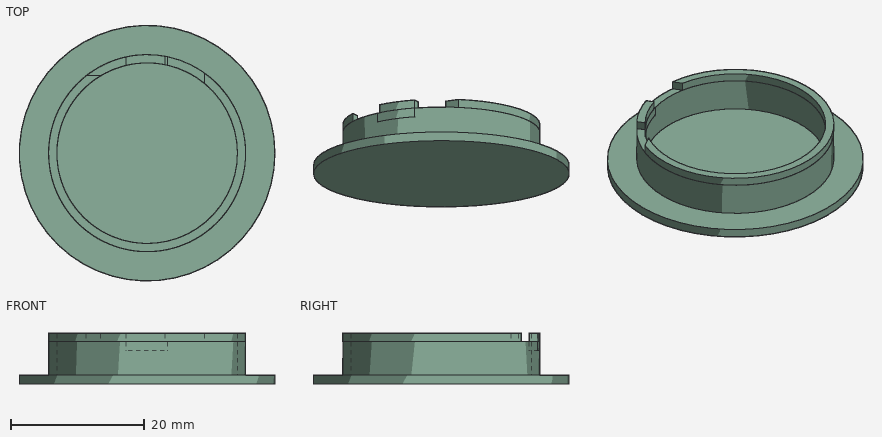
import cadquery as cq

flange_radius = 19.16
flange_thickness = 1.35
wall_outer_radius = 14.77
wall_inner_radius = 13.53
wall_top = 6.4
rim_height = 1.25

opening_right_x = 8.62
opening_left_y = 11.6

key_left_x = -3.17
key_width = 6.25
key_height = 1.36
tab_width = 5.87

rim_top = wall_top + rim_height
key_bottom = wall_top - key_height


def ring(bottom, top):
    """Tube with the radii of the cup wall."""
    return (
        cq.Workplane("XY")
        .workplane(offset=bottom)
        .circle(wall_outer_radius)
        .circle(wall_inner_radius)
        .extrude(top - bottom)
    )


def block(left, right, front, bottom, top):
    """Box that runs from the front Y past the wall on the +Y side."""
    depth = flange_radius - front
    return (
        cq.Workplane("XY")
        .box(right - left, depth, top - bottom, centered=False)
        .translate((left, front, bottom))
    )


def wall_segment(left, width, bottom, top):
    """Piece of the +Y side of the wall between two planes of constant X."""
    return ring(bottom, top).intersect(block(left, left + width, 0, bottom, top))


def make_key():
    return wall_segment(key_left_x, key_width, key_bottom, wall_top)


def make_tab():
    return wall_segment(key_left_x, tab_width, wall_top, rim_top)


def make_cup():
    """Flanged floor and wall, with a pocket through the wall for the key."""
    flange = cq.Workplane("XY").circle(flange_radius).extrude(flange_thickness)
    cup = flange.union(ring(flange_thickness, wall_top))
    return cup.cut(make_key())


def make_rim():
    """Open ring on top of the wall; the opening leaves room around the tab."""
    left_part = block(-flange_radius, 0, opening_left_y, wall_top, rim_top)
    right_part = block(0, opening_right_x, 0, wall_top, rim_top)
    return ring(wall_top, rim_top).cut(left_part).cut(right_part)


def make_bodies():
    return [make_cup(), make_rim(), make_key(), make_tab()]


result = cq.Compound.makeCompound([body.solids().val() for body in make_bodies()])